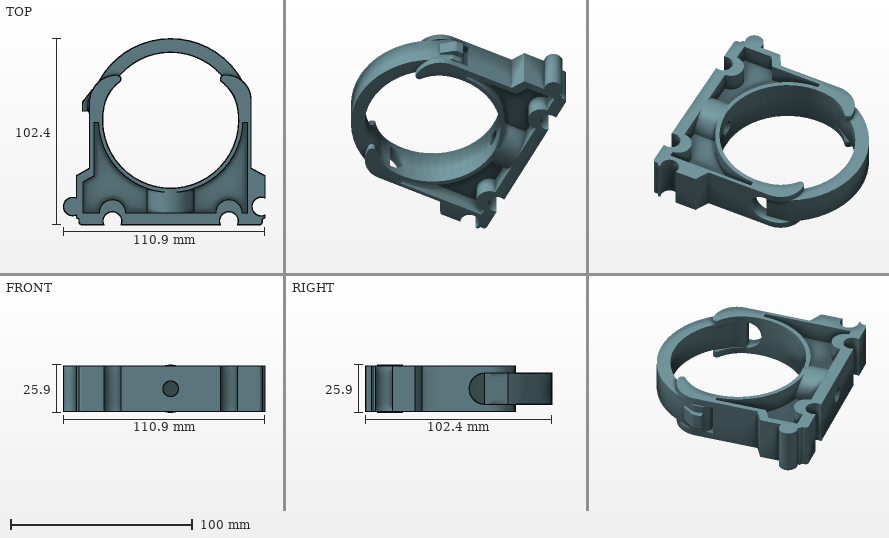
import cadquery as cq
import math


bore_radius = 37.3
ring_wall = 2.3

saddle_height = 25.0
foot_half_width = 51.9
left_wall_x = -44.7
right_wall_x = 44.2
shoulder_top_y = -26.4
shoulder_bottom_y = -30.5
foot_bottom_y = -57.5
foot_lip_y = -53.5
foot_step = 1.4
foot_step_drop = 0.8
foot_corner_radius = 1.8
horn_top_y = 24.8
horn_tip_x = 29.3
horn_tip_radius = 1.9
left_horn_radius = 15.1
right_horn_radius = 13.6
horn_flare_angle = 12
horn_tip_point = (27.6, 21.5)
horn_tip_overhang = 0.1

connector_radius = 5.1
connector_y = -47.4
connector_offset = 2.0

groove_x = 32.0
groove_radius = 5.1
groove_y = -55.4
groove_boss_radius = 7.2

web_thickness = 2.9
pocket_top_y = -1.1
pocket_bottom_y = -50.9
pocket_left_x = -42.0
pocket_foot_left_x = -48.3
pocket_right_x = 42.3
pocket_shoulder_drop = 3.5

screw_boss_diameter = 25.9
screw_hole_diameter = 8.5

strap_width = 17.1
strap_outer_radius = 44.9
strap_bend_y = 20.8
strap_flat_angles = (23.3, 41.4)
strap_right_end_y = 8.0
strap_right_end_x = 41.3
slot_left_end_y = -0.4
latch_x = -45.4
latch_top_y = 10.2
latch_bottom_y = 6.5
latch_end_y = 1.4
hook_width = 8.5
hook_x = -48.5
hook_top = (-43.2, 16.7)
hook_bend_y = 9.9
hook_end_y = 5.0
hook_bend_radius = 2.8
hook_corner_radius = 0.7
hook_root_depth = 4.4


def prism(outline, height):
    """Extrude a closed XY outline, centred on Z = 0."""
    return outline.extrude(height / 2, both=True)


def cylinder(x, y, radius, height):
    return prism(cq.Workplane("XY").center(x, y).circle(radius), height)


def slab(x_min, x_max, y_min, y_max, height):
    return cq.Workplane("XY").box(x_max - x_min, y_max - y_min, height).translate(
        ((x_min + x_max) / 2, (y_min + y_max) / 2, 0)
    )


def on_circle(radius, angle):
    """Point at an angle in degrees around the pipe axis."""
    return (radius * math.cos(math.radians(angle)), radius * math.sin(math.radians(angle)))


def mirrored(point):
    return (-point[0], point[1])


def horn_arc(wall_x, radius):
    """Start, middle and end of the quarter arc from a horn top down to its wall."""
    side = math.copysign(1, wall_x)
    centre_x = wall_x - side * radius
    centre_y = horn_top_y - radius
    reach = radius * math.sqrt(0.5)
    top = (centre_x, horn_top_y)
    middle = (centre_x + side * reach, centre_y + reach)
    bottom = (wall_x, centre_y)
    return top, middle, bottom


def flare_arc_middle(start):
    """Middle of the arc that leaves the pipe seat smoothly at start and ends at the horn tip."""
    run_x = horn_tip_point[0] - start[0]
    run_y = horn_tip_point[1] - start[1]
    seat_direction = math.radians(horn_flare_angle + 90)
    half_turn = math.atan2(run_y, run_x) - seat_direction
    bulge = math.tan(half_turn / 2) / 2
    return (start[0] + run_x / 2 + bulge * run_y, start[1] + run_y / 2 - bulge * run_x)


def make_saddle_blank():
    """Full-height saddle with its two horns and the foot, before the pipe space is cut."""
    left_top, left_middle, left_bottom = horn_arc(left_wall_x, left_horn_radius)
    right_top, right_middle, right_bottom = horn_arc(right_wall_x, right_horn_radius)
    flare_start = on_circle(bore_radius, horn_flare_angle)
    flare_middle = flare_arc_middle(flare_start)
    tip_top = (horn_tip_x, horn_top_y)
    tip_middle = (horn_tip_point[0] - horn_tip_overhang, horn_tip_point[1] + horn_tip_radius)
    step_x = foot_half_width - foot_step
    step_y = foot_lip_y - foot_step_drop
    outline = (
        cq.Workplane("XY")
        .moveTo(-step_x, foot_bottom_y)
        .lineTo(-step_x, step_y)
        .lineTo(-foot_half_width, foot_lip_y)
        .lineTo(-foot_half_width, shoulder_bottom_y)
        .lineTo(left_wall_x, shoulder_top_y)
        .lineTo(*left_bottom)
        .threePointArc(left_middle, left_top)
        .lineTo(*mirrored(tip_top))
        .threePointArc(mirrored(tip_middle), mirrored(horn_tip_point))
        .threePointArc(mirrored(flare_middle), mirrored(flare_start))
        .lineTo(*flare_start)
        .threePointArc(flare_middle, horn_tip_point)
        .threePointArc(tip_middle, tip_top)
        .lineTo(*right_top)
        .threePointArc(right_middle, right_bottom)
        .lineTo(right_wall_x, shoulder_top_y)
        .lineTo(foot_half_width, shoulder_bottom_y)
        .lineTo(foot_half_width, foot_lip_y)
        .lineTo(step_x, step_y)
        .lineTo(step_x, foot_bottom_y)
        .close()
    )
    foot_corners = cq.selectors.BoxSelector(
        (-foot_half_width, foot_bottom_y - foot_step, -saddle_height),
        (foot_half_width, foot_bottom_y + foot_step, saddle_height),
    )
    return prism(outline, saddle_height).edges("|Z").edges(foot_corners).fillet(foot_corner_radius)


def make_strap_flat():
    """Material behind the flat stretch on the inside of the strap's right leg."""
    lower, upper = (on_circle(bore_radius, angle) for angle in strap_flat_angles)
    outline = cq.Workplane("XY").polyline([lower, (lower[0], upper[1]), upper]).close()
    return prism(outline, strap_width)


def make_pipe_space():
    """Round space for the pipe; beside the strap it stops where the horns begin to flare."""
    flare_y = on_circle(bore_radius, horn_flare_angle)[1]
    space = cylinder(0, 0, bore_radius, screw_boss_diameter)
    above_flare = slab(-bore_radius, bore_radius, flare_y, bore_radius, screw_boss_diameter)
    strap_band = slab(-bore_radius, bore_radius, flare_y, bore_radius, strap_width)
    space = space.cut(above_flare.cut(strap_band))
    return space.cut(make_strap_flat()).cut(make_strap_flat().mirror("YZ"))


def make_pockets():
    """Space between the ring and the outer walls, leaving the web and the groove bosses."""
    outline = (
        cq.Workplane("XY")
        .moveTo(pocket_left_x, pocket_top_y)
        .lineTo(pocket_left_x, shoulder_bottom_y)
        .lineTo(pocket_foot_left_x, shoulder_bottom_y - pocket_shoulder_drop)
        .lineTo(pocket_foot_left_x, pocket_bottom_y)
        .lineTo(pocket_right_x, pocket_bottom_y)
        .lineTo(pocket_right_x, pocket_top_y)
        .close()
    )
    space = prism(outline, saddle_height)
    space = space.cut(cylinder(0, 0, bore_radius + ring_wall, saddle_height))
    for x in (-groove_x, groove_x):
        space = space.cut(cylinder(x, pocket_bottom_y, groove_boss_radius, saddle_height))
    web = slab(-foot_half_width, foot_half_width, foot_bottom_y, 0, web_thickness)
    return space.cut(web)


def make_connector(wall_x):
    """Round lobe standing off a wall at wall_x."""
    return cylinder(wall_x - connector_offset, connector_y, connector_radius, saddle_height)


def make_screw_boss():
    """Round boss along Y, from the foot up into the pipe space."""
    return (
        cq.Workplane("XZ", origin=(0, pocket_bottom_y, 0))
        .circle(screw_boss_diameter / 2)
        .extrude(pocket_bottom_y)
    )


def make_screw_hole():
    return (
        cq.Workplane("XZ", origin=(0, foot_bottom_y, 0))
        .circle(screw_hole_diameter / 2)
        .extrude(foot_bottom_y)
    )


def make_strap_slots():
    """Openings through both horns: square-ended on the left, round-ended on the right."""
    left = slab(-foot_half_width, 0, slot_left_end_y, horn_top_y, strap_width)
    right = slab(0, foot_half_width, strap_right_end_y, horn_top_y, strap_width)
    round_end = (
        cq.Workplane("YZ")
        .center(strap_right_end_y, 0)
        .circle(strap_width / 2)
        .extrude(foot_half_width)
    )
    return left.union(right).union(round_end)


def make_strap():
    """Arched strap with a flat end in the right horn and a rounded latch in the left one.

    It is filled inside; the pipe space opens it.
    """
    bend_x = math.sqrt(strap_outer_radius**2 - strap_bend_y**2)
    right_inner_x = math.sqrt(bore_radius**2 - strap_right_end_y**2)
    left_inner_x = math.sqrt(bore_radius**2 - slot_left_end_y**2)
    end_radius = latch_bottom_y - latch_end_y
    end_reach = end_radius * (1 - math.sqrt(0.5))
    outline = (
        cq.Workplane("XY")
        .moveTo(right_inner_x, strap_right_end_y)
        .lineTo(strap_right_end_x, strap_right_end_y)
        .lineTo(bend_x, strap_bend_y)
        .threePointArc((0, strap_outer_radius), (-bend_x, strap_bend_y))
        .lineTo(latch_x, latch_top_y)
        .lineTo(latch_x, latch_bottom_y)
        .threePointArc(
            (latch_x + end_reach, latch_end_y + end_reach), (latch_x + end_radius, latch_end_y)
        )
        .lineTo(latch_x + end_radius, slot_left_end_y)
        .lineTo(-left_inner_x, slot_left_end_y)
        .close()
    )
    return prism(outline, strap_width)


def make_hook():
    """Finger grip on the outside of the latch."""
    root_x = latch_x + hook_root_depth
    outline = (
        cq.Workplane("XY")
        .moveTo(*hook_top)
        .lineTo(hook_x, hook_bend_y)
        .lineTo(hook_x, hook_end_y)
        .lineTo(latch_x, hook_end_y)
        .lineTo(latch_x, latch_bottom_y)
        .lineTo(root_x, latch_top_y)
        .lineTo(root_x, hook_top[1])
        .close()
    )
    hook = prism(outline, hook_width)
    hook = hook.edges(cq.NearestToPointSelector((hook_x, hook_end_y, 0))).fillet(hook_corner_radius)
    return hook.edges(cq.NearestToPointSelector((hook_x, hook_bend_y, 0))).fillet(hook_bend_radius)


saddle = make_saddle_blank().cut(make_pockets()).union(make_screw_boss())
saddle = saddle.union(make_connector(-foot_half_width))
saddle = saddle.cut(make_connector(foot_half_width))
for x in (-groove_x, groove_x):
    saddle = saddle.cut(cylinder(x, groove_y, groove_radius, saddle_height))
saddle = saddle.cut(make_strap_slots())

result = saddle.union(make_strap()).cut(make_pipe_space()).cut(make_screw_hole()).union(make_hook())